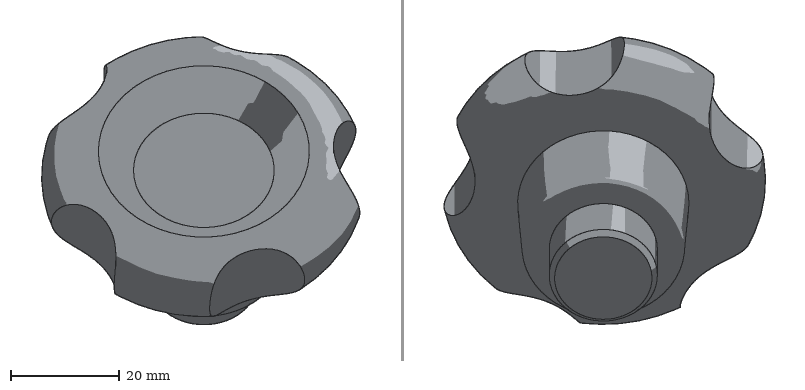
import cadquery as cq
import math

rim_radius = 30.0
rim_height = 16.0
rim_round = rim_height / 2
rim_flat_radius = rim_radius - rim_round

dish_top_radius = 19.5
dish_floor_radius = 13.0
dish_depth = 6.0

hub_height = 16.0
hub_bottom_radius = 15.0
hub_taper_angle = 3.0
hub_top_radius = hub_bottom_radius + hub_height * math.tan(math.radians(hub_taper_angle))
hub_edge_round = 1.0

stem_radius = 10.0
stem_height = 10.0
stem_chamfer = 1.0

scallop_count = 5
scallop_radius = 12.0
scallop_floor_distance = 24.0
scallop_first_angle = -90.0

hub_bottom_z = stem_height
rim_bottom_z = hub_bottom_z + hub_height
rim_middle_z = rim_bottom_z + rim_round
rim_top_z = rim_bottom_z + rim_height


def make_rim():
    """Disc with a half-round edge, revolved about Z, standing on the hub."""
    profile = (
        cq.Workplane("XZ")
        .moveTo(0, rim_bottom_z)
        .lineTo(rim_flat_radius, rim_bottom_z)
        .threePointArc((rim_radius, rim_middle_z), (rim_flat_radius, rim_top_z))
        .lineTo(0, rim_top_z)
        .close()
    )
    return profile.revolve()


def make_scallops():
    """Vertical cylinders, evenly spaced, that cut the finger grips."""
    axis_distance = scallop_floor_distance + scallop_radius
    angle_step = 360.0 / scallop_count
    cutters = cq.Workplane("XY")
    for index in range(scallop_count):
        angle = math.radians(scallop_first_angle + index * angle_step)
        cutter = (
            cq.Workplane("XY", origin=(0, 0, rim_bottom_z))
            .center(axis_distance * math.cos(angle), axis_distance * math.sin(angle))
            .circle(scallop_radius)
            .extrude(rim_height)
        )
        cutters = cutters.add(cutter)
    return cutters.combine()


def make_dish():
    """Truncated cone that hollows the top of the rim."""
    profile = (
        cq.Workplane("XZ")
        .moveTo(0, rim_top_z)
        .lineTo(dish_top_radius, rim_top_z)
        .lineTo(dish_floor_radius, rim_top_z - dish_depth)
        .lineTo(0, rim_top_z - dish_depth)
        .close()
    )
    return profile.revolve()


def make_hub():
    """Tapered hub with a rounded lower edge."""
    profile = (
        cq.Workplane("XZ")
        .moveTo(0, hub_bottom_z)
        .lineTo(hub_bottom_radius, hub_bottom_z)
        .lineTo(hub_top_radius, rim_bottom_z)
        .lineTo(0, rim_bottom_z)
        .close()
    )
    return profile.revolve().faces("<Z").edges().fillet(hub_edge_round)


def make_stem():
    """Cylindrical stem with a chamfered lower end."""
    stem = cq.Workplane("XY").circle(stem_radius).extrude(stem_height)
    return stem.faces("<Z").edges().chamfer(stem_chamfer)


grip = make_rim().cut(make_scallops()).cut(make_dish())
result = grip.union(make_hub()).union(make_stem())